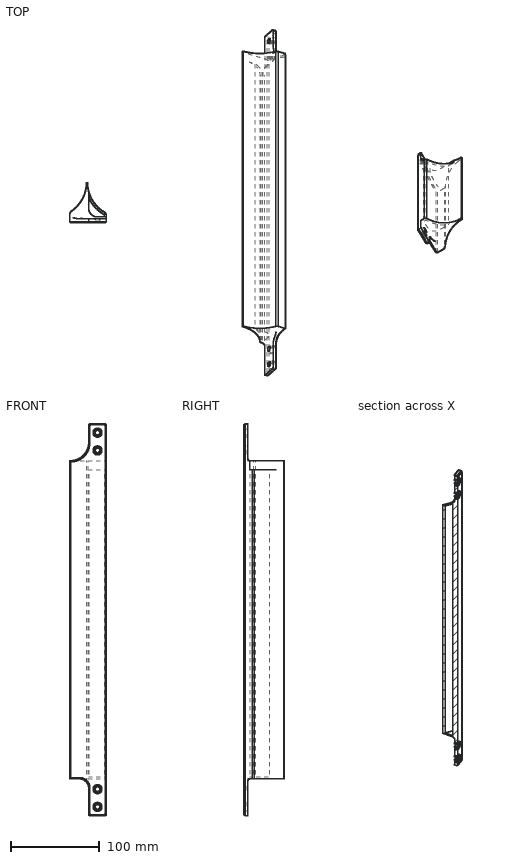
import cadquery as cq
import math

width = 41.4
depth = 45.0
length = 441.0
end_setback = 41.5
body_bottom = end_setback
body_top = length - end_setback

tab_width = 20.0
tab_left = width - tab_width
tab_thickness = 4.5
root_radius = 2.0
flange_thickness = tab_thickness + root_radius
top_corner_radius = 20.0
bottom_corner_radius = 10.0
front_chamfer = 1.35
tab_corner_radius = 2.0

hole_diameter = 5.5
head_diameter = 10.0
counterbore_depth = 2.0
hole_x = tab_left + tab_width / 2
hole_end_distance = 10.0
hole_pitch = 20.0

tip_center_x = 19.6
tip_thickness = 1.4
tip_left = tip_center_x - tip_thickness / 2
tip_right = tip_center_x + tip_thickness / 2
flank_radius = 38.5
mid_share = 1 / 3
shoulder_chamfer = 1.5

web_face_x = tab_left
web_fillet_radius = 10.0
skin_thickness = 2.5
end_wall_thickness = skin_thickness
skin_setback = 10.0


def flank_drop(run, sweep_radius):
    """Y drop of a flank arc that leaves the tip parallel to Y, after an X run."""
    return math.sqrt(sweep_radius**2 - (sweep_radius - run) ** 2)


def flank_point(tip_x, direction, run, sweep_radius):
    """Point on a flank arc; direction is -1 for the left flank and +1 for the right."""
    return (tip_x + direction * run, depth - flank_drop(run, sweep_radius))


def make_body():
    """Extruded blade profile: flat sides, two concave flanks and a thin tip."""
    left_run = tip_left
    right_run = width - tip_right
    left_shoulder = flank_point(tip_left, -1, left_run, flank_radius)
    right_shoulder = flank_point(tip_right, 1, right_run, flank_radius)
    profile = (
        cq.Workplane("XY", origin=(0, 0, body_bottom))
        .moveTo(0, flange_thickness)
        .lineTo(width, flange_thickness)
        .lineTo(*right_shoulder)
        .threePointArc(flank_point(tip_right, 1, right_run * mid_share, flank_radius), (tip_right, depth))
        .lineTo(tip_left, depth)
        .threePointArc(flank_point(tip_left, -1, left_run * mid_share, flank_radius), left_shoulder)
        .close()
    )
    body = profile.extrude(body_top - body_bottom)
    for x, y in (left_shoulder, right_shoulder):
        shoulder = cq.selectors.NearestToPointSelector((x, y, length / 2))
        body = body.edges("|Z").edges(shoulder).chamfer(shoulder_chamfer)
    return body


def make_flange():
    """Front plate with both tabs, its curved inner corners and its front chamfer."""
    arc_inset = 1 - math.sqrt(0.5)
    top_arc_mid = (tab_left - top_corner_radius * arc_inset, body_top + top_corner_radius * arc_inset)
    bottom_arc_mid = (
        tab_left - bottom_corner_radius * arc_inset,
        body_bottom - bottom_corner_radius * arc_inset,
    )
    plate = (
        cq.Workplane("XZ")
        .moveTo(tab_left, 0)
        .lineTo(width, 0)
        .lineTo(width, length)
        .lineTo(tab_left, length)
        .lineTo(tab_left, body_top + top_corner_radius)
        .threePointArc(top_arc_mid, (tab_left - top_corner_radius, body_top))
        .lineTo(0, body_top)
        .lineTo(0, body_bottom)
        .lineTo(tab_left - bottom_corner_radius, body_bottom)
        .threePointArc(bottom_arc_mid, (tab_left, body_bottom - bottom_corner_radius))
        .close()
        .extrude(-flange_thickness)
    )
    for tab_end in ("<Z", ">Z"):
        plate = plate.faces(tab_end).edges("|Y").fillet(tab_corner_radius)
    return plate.faces("<Y").chamfer(front_chamfer)


def trim_tab_backs(flange):
    """Thin the tabs from behind, leaving a root fillet at each end of the body."""
    slab_depth = 2 * root_radius
    for low, high, body_side in ((body_top, length, "<Z"), (0, body_bottom, ">Z")):
        slab = (
            cq.Workplane("XY", origin=(0, tab_thickness, low))
            .box(width, slab_depth, high - low, centered=False)
            .edges("|X and <Y")
            .edges(body_side)
            .fillet(root_radius)
        )
        flange = flange.cut(slab)
    return flange


def l_space(bottom, top):
    """Space on the +X side of the web and behind the flange, with a rounded inner corner."""
    return (
        cq.Workplane("XY", origin=(0, 0, bottom))
        .moveTo(web_face_x, flange_thickness)
        .lineTo(width, flange_thickness)
        .lineTo(width, depth)
        .lineTo(web_face_x, depth)
        .close()
        .extrude(top - bottom)
        .edges("|Z and <X and <Y")
        .fillet(web_fillet_radius)
    )


def inner_core():
    """Material lying at least one skin thickness inside the right flank and side wall."""
    core_radius = flank_radius + skin_thickness
    core_start = tip_right - skin_thickness
    core_right = width - skin_thickness
    run = core_right - core_start
    return (
        cq.Workplane("XY", origin=(0, 0, body_bottom))
        .moveTo(core_start, 0)
        .lineTo(core_right, 0)
        .lineTo(*flank_point(core_start, 1, run, core_radius))
        .threePointArc(flank_point(core_start, 1, run * mid_share, core_radius), (core_start, depth))
        .close()
        .extrude(body_top - body_bottom)
    )


def drill_screw_holes(part):
    """Two counterbored screw holes in each tab, entered from the front."""
    for offset in (hole_end_distance, hole_end_distance + hole_pitch):
        for z in (offset, length - offset):
            part = (
                part.copyWorkplane(cq.Workplane("XZ", origin=(hole_x, 0, z)))
                .cboreHole(hole_diameter, head_diameter, counterbore_depth)
            )
    return part


skin_top = body_top - skin_setback
notch = l_space(skin_top, body_top)
cavity = l_space(body_bottom + end_wall_thickness, body_top).intersect(inner_core())

result = trim_tab_backs(make_flange()).union(make_body()).cut(notch).cut(cavity)
result = drill_screw_holes(result)